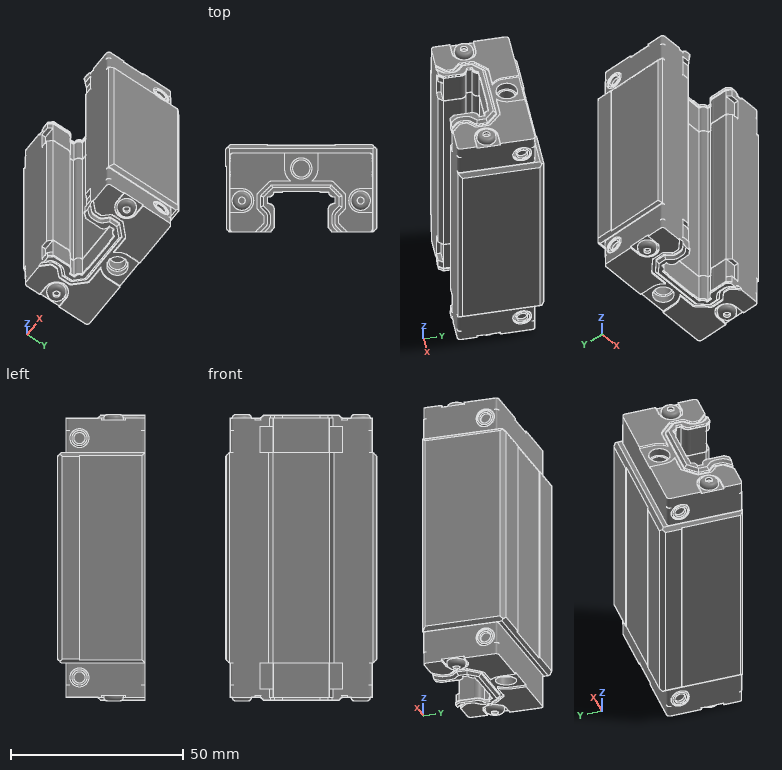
import cadquery as cq
import math

total_length = 83.4
width = 44.0
height = 25.5

body_length = 61.2
end_chamfer = 1.2
top_corner_chamfer = 1.4
bottom_corner_chamfer = 1.2
datum_relief = 0.25
datum_bottom_y = 19.1
top_relief_width = 19.7
top_relief_depth = 0.25

cap_width = 41.4
cap_height = 23.0
cap_top_z = 40.6
plate_bottom_z = 37.0
cap_corner_radius = 0.8
plate_corner_radius = 1.0
recess_floor_z = 40.0

throat_half = 8.2
passage_half = 10.1
shoulder_half = 8.25
passage_top_y = 11.9
throat_top_y = 5.9
throat_bulge_x = 0.5
throat_bulge_y = 7.8
lobe_bottom_y = 8.4
lobe_top_y = 10.2
lobe_ledge = 0.5
shoulder_bulge_x = 0.3
shoulder_bulge_y = 10.8
body_passage_clearance = 0.1
body_mouth_chamfer = 1.3
cap_mouth_chamfer = 1.1
mouth_chamfer_height = 1.3

seal_throat_half = 10.85
seal_throat_top_y = 4.75
seal_flare_y = 2.6
seal_lobe_half = 12.9
seal_lobe_top_y = 11.0
seal_top_slope = 3.8
seal_top_z = 41.45
seal_groove_width = 1.1
groove_throat_radius = 1.0
seal_bevel = seal_top_z - cap_top_z
lip_overhang = 0.3
lip_notch_width = 10.85
lip_notch_top_y = 11.8

pocket_half_width = 11.9
pocket_top_z = 38.1
pocket_depth = 1.3

screw_x = 17.3
screw_y = 9.2
screw_top_z = total_length / 2
screw_shoulder_z = 40.5
screw_head_diameter = 5.7
screw_flat_diameter = 3.25
screw_seat_diameter = 6.9
socket_diameter = 2.0
socket_depth = 1.0

port_y = 18.5
port_boss_diameter = 9.7
port_bore_diameter = 6.2
port_bore_depth = 2.5
port_hole_diameter = 5.0
port_hole_depth = 6.7

side_port_y = 19.1
side_port_z = 34.8
side_port_diameter = 5.5
side_plug_diameter = 4.4
side_socket_diameter = 3.25
side_socket_depth = 1.0

body_top_z = body_length / 2
below = 4.2


def mirrored_outline(right_side):
    """Closed XY outline from its right-hand points, mirrored across x = 0."""
    left_side = [(-x, y) for x, y in reversed(right_side)]
    return cq.Workplane("XY").polyline(right_side + left_side).close()


def block(x_size, y_low, y_high, z_low, z_high):
    """Box centred on x = 0."""
    return cq.Workplane("XY").box(
        x_size, y_high - y_low, z_high - z_low, centered=(True, False, False)
    ).translate((0, y_low, z_low))


def cylinder(diameter, length):
    """Cylinder along Z from the origin; a negative length reaches down."""
    return cq.Workplane("XY").circle(diameter / 2).extrude(length)


def passage(mouth_chamfer, inset, z_low, z_high):
    """Solid of the rail passage; inset moves the walls inwards.

    On each side the wall bulges into the passage in two arcs, above and below the lobe.
    """
    throat = throat_half - inset
    lobe = passage_half - inset
    shoulder = shoulder_half - inset
    top = passage_top_y - inset
    outline = (
        cq.Workplane("XY")
        .moveTo(throat + mouth_chamfer, 0)
        .lineTo(throat, mouth_chamfer_height)
        .lineTo(throat, throat_top_y)
        .threePointArc((throat + throat_bulge_x, throat_bulge_y), (lobe, lobe_bottom_y))
        .lineTo(lobe, lobe_top_y)
        .lineTo(lobe - lobe_ledge, lobe_top_y)
        .threePointArc((shoulder + shoulder_bulge_x, shoulder_bulge_y), (shoulder, top))
        .lineTo(0, top)
        .lineTo(0, 0)
        .close()
    )
    half = outline.extrude(z_high - z_low).translate((0, 0, z_low))
    return half.union(half.mirror("YZ"))


def seal_edge():
    """Outer edge of the seal, open past the rail side, with rounded throat corners."""
    corners = mirrored_outline([
        (seal_throat_half + seal_flare_y + below, -below),
        (seal_throat_half, seal_flare_y),
        (seal_throat_half, seal_throat_top_y),
        (seal_lobe_half, seal_throat_top_y + seal_lobe_half - seal_throat_half),
        (seal_lobe_half, seal_lobe_top_y),
        (seal_lobe_half - seal_top_slope, seal_lobe_top_y + seal_top_slope),
    ])
    spread = corners.offset2D(groove_throat_radius, "intersection")
    return spread.offset2D(-groove_throat_radius - seal_groove_width, "arc")


def make_body():
    body = block(width, 0, height, -body_top_z, body_top_z)
    body = body.faces("<Z or >Z").edges("not <Y").chamfer(end_chamfer)
    profile = block(width, 0, height, -body_top_z, body_top_z)
    profile = profile.edges("|Z and >Y").chamfer(top_corner_chamfer)
    profile = profile.edges("|Z and <Y").chamfer(bottom_corner_chamfer)
    body = body.intersect(profile)
    side_relief = block(datum_relief * 2, 0, datum_bottom_y, -body_top_z, body_top_z)
    body = body.cut(side_relief.translate((-width / 2, 0, 0)))
    top_relief = block(top_relief_width, height - top_relief_depth, height, -body_top_z, body_top_z)
    body = body.cut(top_relief)
    return body.cut(passage(body_mouth_chamfer, -body_passage_clearance, -body_top_z, body_top_z))


def make_cap_block():
    """Upper cap: a base and an outer plate with slightly rounder corners."""
    base = block(cap_width, 0, cap_height, body_top_z, plate_bottom_z)
    base = base.edges("|Z").fillet(cap_corner_radius)
    plate = block(cap_width, 0, cap_height, plate_bottom_z, cap_top_z)
    plate = plate.edges("|Z").fillet(plate_corner_radius)
    return base.union(plate)


def make_face_recesses():
    """Shallow recesses of the cap face: seal groove, port surround and screw seats."""
    depth = cap_top_z - recess_floor_z
    recesses = seal_edge().offset2D(seal_groove_width, "arc").extrude(depth)
    port_surround = cylinder(port_boss_diameter, depth).translate((0, port_y, 0))
    port_surround = port_surround.union(block(port_boss_diameter, port_y, height, 0, depth))
    recesses = recesses.union(port_surround)
    for side in (-1, 1):
        seat = cylinder(screw_seat_diameter, depth).translate((side * screw_x, screw_y, 0))
        seat_run_out = cq.Workplane("XY").center(side * (screw_x + screw_seat_diameter / 2), screw_y)
        seat = seat.union(seat_run_out.rect(screw_seat_diameter, screw_seat_diameter).extrude(depth))
        recesses = recesses.union(seat)
    return recesses.translate((0, 0, recess_floor_z))


def make_seal():
    """Bevelled seal standing on the recess floor, before the passage is cut."""
    foot_height = cap_top_z - recess_floor_z
    foot = seal_edge().extrude(foot_height)
    bevel = seal_edge().extrude(seal_bevel, taper=45)
    seal = foot.union(bevel.translate((0, 0, foot_height)))
    return seal.translate((0, 0, recess_floor_z)).intersect(block(width, 0, height, 0, total_length))


def cut_passage(cap):
    """Cut the rail passage, narrower at the seal lip than in the cap below it."""
    cap = cap.cut(passage(cap_mouth_chamfer, 0, body_top_z, cap_top_z))
    cap = cap.cut(passage(cap_mouth_chamfer, lip_overhang, cap_top_z, seal_top_z))
    return cap.cut(block(lip_notch_width, 0, lip_notch_top_y, cap_top_z, seal_top_z))


def make_screw():
    """Button-head screw, standing on the recess floor."""
    head_radius = screw_head_diameter / 2
    flat_radius = screw_flat_diameter / 2
    middle_angle = math.pi / 4
    dome_middle = (
        flat_radius + (head_radius - flat_radius) * math.sin(middle_angle),
        screw_shoulder_z + (screw_top_z - screw_shoulder_z) * math.cos(middle_angle),
    )
    head = (
        cq.Workplane("XZ")
        .moveTo(0, recess_floor_z)
        .lineTo(head_radius, recess_floor_z)
        .lineTo(head_radius, screw_shoulder_z)
        .threePointArc(dome_middle, (flat_radius, screw_top_z))
        .lineTo(0, screw_top_z)
        .close()
        .revolve(360, (0, 0, 0), (0, 1, 0))
    )
    return head.faces(">Z").workplane().hole(socket_diameter, socket_depth)


def make_grease_port():
    port = cylinder(port_bore_diameter, -port_bore_depth)
    port = port.union(cylinder(port_hole_diameter, -port_hole_depth))
    return port.translate((0, port_y, recess_floor_z))


def make_side_port(side):
    """Ring-shaped bevelled groove around a flush plug with a socket."""
    groove_depth = (side_port_diameter - side_plug_diameter) / 2
    plug = cq.Workplane("XY").circle(side_plug_diameter / 2)
    plug = plug.workplane(offset=-groove_depth).circle(side_port_diameter / 2).loft()
    port = cylinder(side_port_diameter, -groove_depth).cut(plug)
    port = port.union(cylinder(side_socket_diameter, -side_socket_depth))
    port = port.rotate((0, 0, 0), (0, 1, 0), side * 90)
    return port.translate((side * cap_width / 2, side_port_y, side_port_z))


def make_cap():
    """Complete upper end cap with seal, screws, ports and pockets."""
    cap = make_cap_block().cut(make_face_recesses()).union(make_seal())
    cap = cut_passage(cap)
    cap = cap.cut(block(2 * pocket_half_width, 0, pocket_depth, body_top_z, pocket_top_z))
    cap = cap.cut(make_grease_port())
    for side in (-1, 1):
        cap = cap.cut(make_side_port(side))
        cap = cap.union(make_screw().translate((side * screw_x, screw_y, 0)))
    return cap


upper_cap = make_cap()
lower_cap = upper_cap.mirror("XY")
result = make_body().union(upper_cap).union(lower_cap)